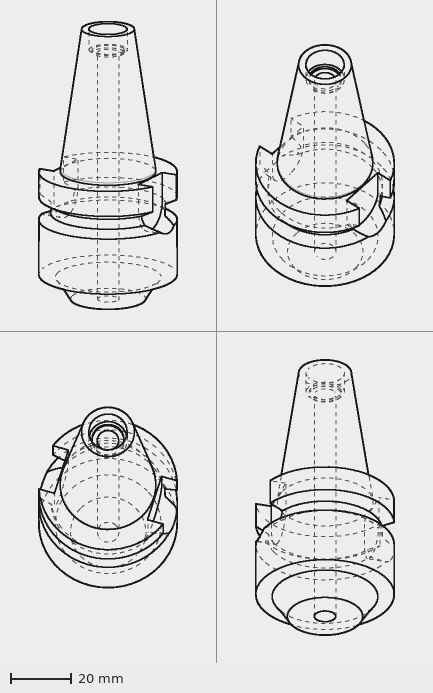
import cadquery as cq

total_height = 93.4
body_radius = 23.02

nose_height = 7.6
body_bottom = 8.4
lower_rim_top = 27.5
groove_bottom = 29.7
groove_top = 33.2
flange_bottom = 35.3
flange_top = 44.0
taper_start = 44.9

nose_tip_radius = 12.5
nose_base_radius = 17.6
nose_hollow = 0.2
groove_radius = 19.1
taper_base_radius = 15.9
taper_tip_radius = 8.8

bore_radius = 6.35
bore_depth = 7.1
step_radius = 5.3
step_depth = 0.9
through_radius = 3.55

slot_half_width = 8.0
slot_floor = 16.2
slot_bottom = 26.1
slot_arc_center = slot_bottom + slot_half_width


def make_body():
    """Revolve the outer profile about Z."""
    nose_mid_radius = (nose_tip_radius + nose_base_radius) / 2 - nose_hollow
    return (
        cq.Workplane("XZ")
        .moveTo(0, 0)
        .lineTo(nose_tip_radius, 0)
        .threePointArc((nose_mid_radius, nose_height / 2), (nose_base_radius, nose_height))
        .lineTo(body_radius, body_bottom)
        .lineTo(body_radius, lower_rim_top)
        .lineTo(groove_radius, groove_bottom)
        .lineTo(groove_radius, groove_top)
        .lineTo(body_radius, flange_bottom)
        .lineTo(body_radius, flange_top)
        .lineTo(taper_base_radius, flange_top)
        .lineTo(taper_base_radius, taper_start)
        .lineTo(taper_tip_radius, total_height)
        .lineTo(0, total_height)
        .close()
        .revolve(360, (0, 0, 0), (0, 1, 0))
    )


def make_bore():
    """Through hole with two wider steps at the taper end."""
    bore_floor = total_height - bore_depth
    step_floor = bore_floor - step_depth
    base = cq.Workplane("XY")
    through = base.circle(through_radius).extrude(total_height)
    step = base.workplane(offset=step_floor).circle(step_radius).extrude(step_depth)
    entry = base.workplane(offset=bore_floor).circle(bore_radius).extrude(bore_depth)
    return through.union(step).union(entry)


def make_drive_slot():
    """Round-ended slot on the +X side, open at the flange top."""
    return (
        cq.Workplane("YZ")
        .workplane(offset=slot_floor)
        .moveTo(-slot_half_width, flange_top)
        .lineTo(-slot_half_width, slot_arc_center)
        .threePointArc((0, slot_bottom), (slot_half_width, slot_arc_center))
        .lineTo(slot_half_width, flange_top)
        .close()
        .extrude(body_radius)
    )


result = make_body().cut(make_bore())
for slot_angle in (0, 180):
    result = result.cut(make_drive_slot().rotate((0, 0, 0), (0, 0, 1), slot_angle))